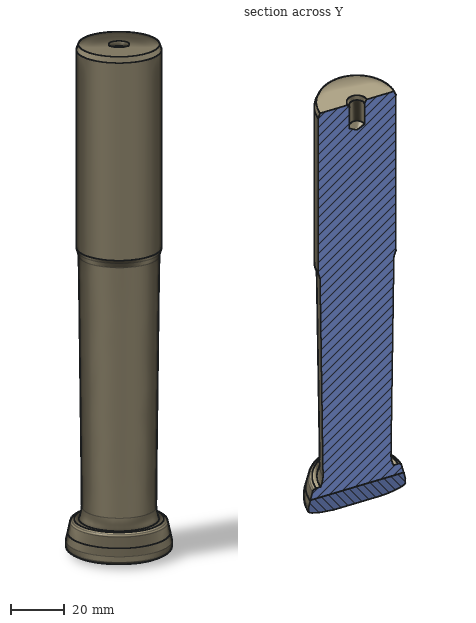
import cadquery as cq

TOTAL_LENGTH = 200.0
COLLAR_TOP = 13.5

SHANK_RADIUS = 16.0
SHANK_BOTTOM = 120.2
TOP_CHAMFER_WIDTH = 0.8
TOP_CHAMFER_HEIGHT = 2.2

SHOULDER_CHAMFER = 0.4
SHOULDER_CHAMFER_HEIGHT = 1.2
SHOULDER_BLEND_HEIGHT = 1.8

NECK_TOP_RADIUS = 15.2
NECK_BOTTOM_RADIUS = 14.0
FLARE_TOP = 18.4
FLARE_RADIUS = 15.0
FLARE_MID_BULGE = 0.2

HOLE_DIAMETER = 6.0
HOLE_DEPTH = 12.0
HOLE_MOUTH_DIAMETER = 7.8
HOLE_MOUTH_DEPTH = 1.5
HOLE_TIP_HEIGHT = 1.8

COLLAR_FLAT_RADIUS = 16.8
COLLAR_BEVEL_RADIUS = 17.8
COLLAR_BEVEL_DROP = 0.4
COLLAR_EDGE_RADIUS = 18.3
COLLAR_EDGE_HEIGHT = 12.4
COLLAR_ROUND = 1.2

PAD_HEIGHT = 8.2
PAD_RADIUS = 19.9
PAD_LAND_TOP = 5.2
PAD_LAND_BOTTOM = 3.0
PAD_ROUND = 1.0
PAD_BEVEL_RADIUS = 19.4
PAD_BEVEL_HEIGHT = 2.2
CROWN_RADIUS = 18.4
CROWN_HEIGHT = 1.5
CROWN_ARC = 28.0
PAD_FLAT_RADIUS = 9.5

CONE_SLOPE = (PAD_RADIUS - COLLAR_EDGE_RADIUS) / (COLLAR_EDGE_HEIGHT - PAD_LAND_TOP)
SEAM_RADIUS = PAD_RADIUS - CONE_SLOPE * (PAD_HEIGHT - PAD_LAND_TOP)


def make_hole_cutter():
    """Countersunk center hole with a conical bottom."""
    mouth_floor = TOTAL_LENGTH - HOLE_MOUTH_DEPTH
    hole_floor = TOTAL_LENGTH - HOLE_DEPTH
    return (
        cq.Workplane("XZ")
        .moveTo(0, TOTAL_LENGTH)
        .lineTo(HOLE_MOUTH_DIAMETER / 2, TOTAL_LENGTH)
        .lineTo(HOLE_DIAMETER / 2, mouth_floor)
        .lineTo(HOLE_DIAMETER / 2, hole_floor)
        .lineTo(0, hole_floor - HOLE_TIP_HEIGHT)
        .close()
        .revolve(360, (0, 0, 0), (0, 1, 0))
    )


def make_shank():
    """Shank with a tapered neck and a conical collar, standing on the pad."""
    shoulder_bottom = SHANK_BOTTOM - SHOULDER_CHAMFER_HEIGHT
    neck_top = shoulder_bottom - SHOULDER_BLEND_HEIGHT
    flare_mid_radius = (NECK_BOTTOM_RADIUS + FLARE_RADIUS) / 2 - FLARE_MID_BULGE
    flare_mid_height = (FLARE_TOP + COLLAR_TOP) / 2
    body = (
        cq.Workplane("XZ")
        .moveTo(0, PAD_HEIGHT)
        .lineTo(SEAM_RADIUS, PAD_HEIGHT)
        .lineTo(COLLAR_EDGE_RADIUS, COLLAR_EDGE_HEIGHT)
        .radiusArc((COLLAR_BEVEL_RADIUS, COLLAR_TOP - COLLAR_BEVEL_DROP), -COLLAR_ROUND)
        .lineTo(COLLAR_FLAT_RADIUS, COLLAR_TOP)
        .lineTo(FLARE_RADIUS, COLLAR_TOP)
        .threePointArc((flare_mid_radius, flare_mid_height), (NECK_BOTTOM_RADIUS, FLARE_TOP))
        .lineTo(NECK_TOP_RADIUS, neck_top)
        .lineTo(SHANK_RADIUS - SHOULDER_CHAMFER, shoulder_bottom)
        .lineTo(SHANK_RADIUS, SHANK_BOTTOM)
        .lineTo(SHANK_RADIUS, TOTAL_LENGTH - TOP_CHAMFER_HEIGHT)
        .lineTo(SHANK_RADIUS - TOP_CHAMFER_WIDTH, TOTAL_LENGTH)
        .lineTo(0, TOTAL_LENGTH)
        .close()
        .revolve(360, (0, 0, 0), (0, 1, 0))
    )
    return body.cut(make_hole_cutter())


def make_pad():
    """Conical pad with a crowned underside and a flat center."""
    return (
        cq.Workplane("XZ")
        .moveTo(0, 0)
        .lineTo(PAD_FLAT_RADIUS, 0)
        .radiusArc((CROWN_RADIUS, CROWN_HEIGHT), -CROWN_ARC)
        .lineTo(PAD_BEVEL_RADIUS, PAD_BEVEL_HEIGHT)
        .radiusArc((PAD_RADIUS, PAD_LAND_BOTTOM), -PAD_ROUND)
        .lineTo(PAD_RADIUS, PAD_LAND_TOP)
        .lineTo(SEAM_RADIUS, PAD_HEIGHT)
        .lineTo(0, PAD_HEIGHT)
        .close()
        .revolve(360, (0, 0, 0), (0, 1, 0))
    )


shank = make_shank()
pad = make_pad()
result = cq.Compound.makeCompound([shank.val(), pad.val()])